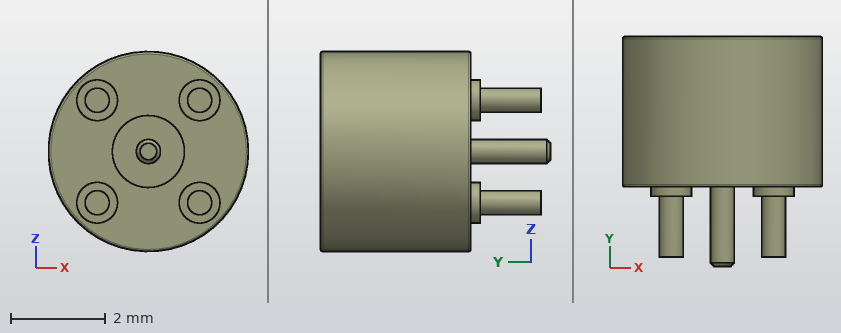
import cadquery as cq

body_diameter = 4.22
overall_length = 4.85
center_pin_length = 1.68
body_length = overall_length - center_pin_length
body_edge_radius = 0.05

insulator_diameter = 1.52
insulator_recess = 0.025

pin_root = body_length / 2
pin_diameter = 0.51
center_pin_chamfer = 0.08
outer_pin_length = 1.48
outer_pin_offset = 1.08
collar_diameter = 0.86
collar_height = 0.2


def cylinder(diameter, y_start, y_end, x=0, z=0):
    """Cylinder parallel to Y between two Y positions, with y_start > y_end."""
    plane = cq.Workplane("XZ", origin=(x, y_start, z))
    return plane.circle(diameter / 2).extrude(y_start - y_end)


def make_body():
    body = cylinder(body_diameter, body_length, 0)
    body = body.faces("<Y or >Y").fillet(body_edge_radius)
    return body.cut(cylinder(insulator_diameter, insulator_recess, 0))


def make_center_pin():
    pin = cylinder(pin_diameter, pin_root, -center_pin_length)
    return pin.faces("<Y").chamfer(center_pin_chamfer)


def make_outer_pin(x, z):
    pin = cylinder(pin_diameter, pin_root, -outer_pin_length, x, z)
    collar = cylinder(collar_diameter, pin_root, -collar_height, x, z)
    return pin.union(collar)


result = make_body().union(make_center_pin())
for x_side in (-1, 1):
    for z_side in (-1, 1):
        outer_pin = make_outer_pin(x_side * outer_pin_offset, z_side * outer_pin_offset)
        result = result.union(outer_pin)